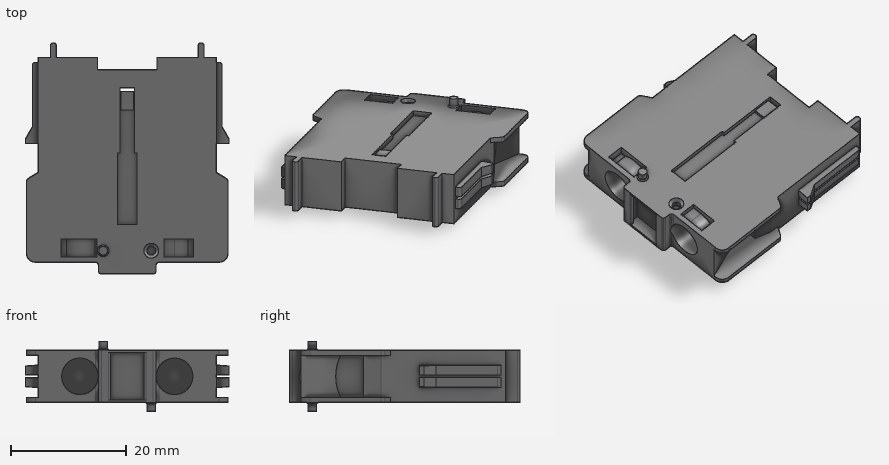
import cadquery as cq
length = 39.9
height_over_pins = 12.1
height = 9.0
plate_thickness = 0.88
half_height = height / 2
plate_inner_z = half_height - plate_thickness

rear_half_width = 15.4
front_half_width = 17.45
nose_half_width = 5.0
notch_half_width = 5.1
front_y = 2.0
shoulder_front_y = 16.28
shoulder_rear_y = 17.5
notch_floor_y = 35.27
rear_y = 37.4
front_corner_radius = 1.6
shoulder_radius = 0.8
nose_radius = 0.5

bay_wall_x = 12.75
bay_slant_x = 12.93
bay_slant_y = 8.9
bay_slant_mid_y = 8.0
bay_step_y = 12.85
bay_step_x = 14.52
bay_rear_y = 15.9

blade_x = 12.75
blade_width = 1.05
blade_tip_radius = 0.48

latch_rail_x = 16.4
latch_hook_x = 17.6
latch_front_y = 22.5
latch_ramp_front_y = 23.3
latch_ramp_rear_y = 25.38
latch_rear_y = 36.55
latch_rear_radius = 0.55
latch_inner_z = 0.25
latch_base_z = 1.95
latch_hook_z = 1.8

bore_x = 8.18
bore_diameter = 6.3
bore_depth = 9.98
pocket_front_y = 2.95
pocket_rear_y = 6.0
pocket_outer_x = 11.4
left_pocket_inner_x = 5.23
right_pocket_inner_x = 6.35
pocket_floor_z = 2.8
left_pocket_inner_floor_z = 2.5

slot_front_y = 8.55
slot_step_y = 20.85
slot_rear_y = 32.1
slot_wide_half = 1.68
slot_narrow_half = 1.25
slider_front_y = 28.33
slider_rear_y = 31.52
slider_half_width = 1.1
slider_height = 0.55

recess_mouth_half_width = 3.27
recess_cavity_half_width = 3.5
recess_half_height = 4.1
recess_depth = 2.07
recess_corner_radius = 0.4
lip_radius = 0.35

pin_x = 4.15
pin_y = 4.0
pin_diameter = 1.5
pin_length = (height_over_pins - height) / 2
collar_diameter = 2.0
socket_mouth_diameter = 2.55
socket_depth = 1.6
cone_angle = 45


def box(x0, x1, y0, y1, z0, z1):
    """Box between two opposite corners."""
    return cq.Workplane("XY").box(x1 - x0, y1 - y0, z1 - z0, centered=False).translate((x0, y0, z0))


def prism(points, z0, z1):
    """Closed XY outline extruded from z0 to z1."""
    return cq.Workplane("XY").workplane(offset=z0).polyline(points).close().extrude(z1 - z0)


def mirrored(solid):
    """The solid together with its mirror image across the YZ plane."""
    return solid.union(solid.mirror("YZ"))


def y_cylinder(x, diameter, y0, y1):
    """Cylinder along Y, centred at height 0."""
    return cq.Workplane("XZ", origin=(x, y0, 0)).circle(diameter / 2).extrude(y0 - y1)


def round_corner(solid, x, y, radius):
    """Fillet the vertical edges at (x, y) and (-x, y)."""
    reach = 0.05
    for side in (-1, 1):
        picker = cq.selectors.BoxSelector(
            (side * x - reach, y - reach, -half_height), (side * x + reach, y + reach, half_height)
        )
        solid = solid.edges("|Z").edges(picker).fillet(radius)
    return solid


def make_housing():
    right_half = [
        (nose_half_width, 0),
        (nose_half_width, front_y),
        (front_half_width, front_y),
        (front_half_width, shoulder_front_y),
        (rear_half_width, shoulder_rear_y),
        (rear_half_width, rear_y),
        (notch_half_width, rear_y),
        (notch_half_width, notch_floor_y),
    ]
    left_half = [(-x, y) for x, y in reversed(right_half)]
    housing = prism(right_half + left_half, -half_height, half_height)
    housing = round_corner(housing, nose_half_width, 0, nose_radius)
    housing = round_corner(housing, nose_half_width, front_y, nose_radius)
    housing = round_corner(housing, front_half_width, front_y, front_corner_radius)
    return round_corner(housing, front_half_width, shoulder_front_y, shoulder_radius)


def make_side_bays():
    clearance = 0.4
    outside = front_half_width + clearance
    bay = prism(
        [
            (rear_half_width, front_y),
            (bay_slant_x, bay_slant_y),
            (bay_wall_x, bay_slant_y),
            (bay_wall_x, bay_step_y),
            (bay_step_x, bay_step_y),
            (rear_half_width, bay_rear_y),
            (rear_half_width, shoulder_rear_y),
            (outside, shoulder_rear_y),
            (outside, front_y),
        ],
        -plate_inner_z,
        plate_inner_z,
    )
    arc_trim = (
        cq.Workplane("YZ", origin=(bay_wall_x, 0, 0))
        .moveTo(bay_slant_y, -plate_inner_z)
        .threePointArc((bay_slant_mid_y, 0), (bay_slant_y, plate_inner_z))
        .close()
        .extrude(outside - bay_wall_x)
    )
    return mirrored(bay.union(arc_trim))


def make_blades():
    overlap = 0.4
    inner_x = blade_x - blade_width / 2
    blade = box(inner_x, inner_x + blade_width, rear_y - overlap, length, -half_height, half_height)
    return mirrored(blade.edges("|Z and >Y").fillet(blade_tip_radius))


def make_latches():
    outline = [
        (rear_half_width, latch_front_y),
        (latch_hook_x, latch_front_y),
        (latch_hook_x, latch_ramp_front_y),
        (latch_rail_x, latch_ramp_rear_y),
        (latch_rail_x, latch_rear_y),
        (rear_half_width, latch_rear_y),
    ]
    latch = prism(outline, latch_inner_z, latch_base_z)
    taper = cq.Workplane("XZ", origin=(0, latch_front_y, 0)).polyline(
        [(rear_half_width, latch_base_z), (latch_hook_x, latch_base_z), (latch_hook_x, latch_hook_z)]
    )
    taper = taper.close().extrude(latch_front_y - latch_rear_y)
    rear_corner = cq.selectors.NearestToPointSelector((latch_rail_x, latch_rear_y, latch_inner_z))
    latch = latch.edges("|Z").edges(rear_corner).fillet(latch_rear_radius).cut(taper)
    return mirrored(latch.union(latch.mirror("XY")))


def make_pocket(x0, x1, floor_z):
    return box(x0, x1, pocket_front_y, pocket_rear_y, floor_z, half_height)


def make_pockets():
    sleeve_diameter = 2 * plate_inner_z
    left = make_pocket(-pocket_outer_x, -left_pocket_inner_x, pocket_floor_z)
    left = left.union(make_pocket(-bore_x, -left_pocket_inner_x, left_pocket_inner_floor_z))
    left = left.cut(y_cylinder(-bore_x, sleeve_diameter, front_y, pocket_rear_y))
    right = make_pocket(right_pocket_inner_x, pocket_outer_x, pocket_floor_z)
    right = right.cut(y_cylinder(bore_x, sleeve_diameter, front_y, pocket_rear_y))
    ledge = box(right_pocket_inner_x, bore_x, pocket_front_y, pocket_rear_y, pocket_floor_z, plate_inner_z)
    return left.union(right.cut(ledge))


def make_slot():
    wide = box(-slot_wide_half, slot_wide_half, slot_front_y, slot_step_y, plate_inner_z, half_height)
    narrow = box(-slot_narrow_half, slot_narrow_half, slot_step_y, slot_rear_y, plate_inner_z, half_height)
    gap = box(-slot_narrow_half, slot_narrow_half, slider_rear_y, slot_rear_y, -half_height, half_height)
    slider = box(
        -slider_half_width, slider_half_width, slider_front_y, slider_rear_y,
        plate_inner_z, plate_inner_z + slider_height,
    )
    return wide.union(narrow).cut(slider).union(gap)


def make_nose_recess():
    cavity = box(
        -recess_cavity_half_width, recess_cavity_half_width, 0, recess_depth,
        -recess_half_height, recess_half_height,
    )
    cavity = cavity.edges("|Z and >Y").fillet(recess_corner_radius)
    lip = box(
        recess_mouth_half_width, recess_cavity_half_width, 0, 2 * lip_radius,
        -recess_half_height, recess_half_height,
    )
    lip_edge = cq.Workplane("XY", origin=(recess_mouth_half_width, lip_radius, -recess_half_height))
    lip = lip.union(lip_edge.circle(lip_radius).extrude(2 * recess_half_height))
    return cavity.cut(mirrored(lip))


def top_face_circle(diameter):
    """Circle on the top face of the housing, on the Z axis."""
    return cq.Workplane("XY").workplane(offset=half_height).circle(diameter / 2)


def make_pin():
    """Upward locating pin with a conical collar at its root."""
    collar_height = (collar_diameter - pin_diameter) / 2
    collar = top_face_circle(collar_diameter).extrude(collar_height, taper=cone_angle)
    pin = top_face_circle(pin_diameter).extrude(pin_length)
    return collar.union(pin).translate((-pin_x, pin_y, 0))


def make_socket():
    """Round hole of the pin's diameter, with a countersunk mouth."""
    countersink_depth = (socket_mouth_diameter - pin_diameter) / 2
    mouth = top_face_circle(socket_mouth_diameter).extrude(-countersink_depth, taper=cone_angle)
    hole = top_face_circle(pin_diameter).extrude(-socket_depth)
    return mouth.union(hole).translate((pin_x, pin_y, 0))


top_pin = make_pin()
bottom_pin = top_pin.rotate((0, 0, 0), (0, 1, 0), 180)
bores = mirrored(y_cylinder(bore_x, bore_diameter, 0, front_y + bore_depth))

result = make_housing().cut(make_side_bays())
result = result.union(make_blades()).union(make_latches())
result = result.cut(make_pockets()).cut(bores)
result = result.cut(make_slot()).cut(make_nose_recess()).cut(make_socket())
result = result.union(top_pin).union(bottom_pin)